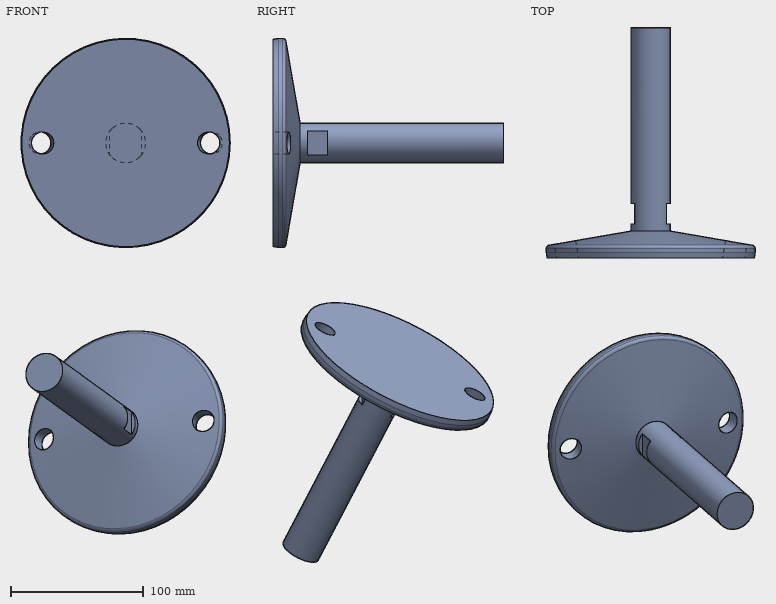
import cadquery as cq
import math

total_length = 174.0
plate_diameter = 158.0
stem_diameter = 30.0
cone_angle = 9.8
face_diameter = 156.6
taper_height = 4.2
rim_top = 7.3
rim_fillet = 2.6
hole_diameter = 16.5
hole_offset = 62.6
flat_width = 24.0
flat_start = 26.0
flat_end = 41.2

plate_radius = plate_diameter / 2
stem_radius = stem_diameter / 2
slope = math.radians(cone_angle)


def rim_arc_point(angle):
    """Point on the rim rounding, at an angle from the radial direction."""
    radius = plate_radius - rim_fillet + rim_fillet * math.cos(angle)
    height = rim_top + rim_fillet * math.sin(angle)
    return radius, height


arc_span = math.pi / 2 - slope
cone_edge_radius, cone_edge_height = rim_arc_point(arc_span)
cone_top = cone_edge_height + (cone_edge_radius - stem_radius) * math.tan(slope)


def make_body():
    """Conical plate and stem, revolved about Y."""
    return (
        cq.Workplane("XY")
        .lineTo(face_diameter / 2, 0)
        .lineTo(plate_radius, taper_height)
        .lineTo(plate_radius, rim_top)
        .threePointArc(rim_arc_point(arc_span / 2), (cone_edge_radius, cone_edge_height))
        .lineTo(stem_radius, cone_top)
        .lineTo(stem_radius, total_length)
        .lineTo(0, total_length)
        .close()
        .revolve(360, (0, 0, 0), (0, 1, 0))
    )


def make_hole(side):
    """Cutter for a bolt hole that runs square to the cone surface."""
    center = cq.Vector(side * hole_offset, 0, 0)
    axis = cq.Vector(side * math.sin(slope), math.cos(slope), 0)
    reach = 2 * cone_top
    return cq.Solid.makeCylinder(hole_diameter / 2, 2 * reach, center - axis * reach, axis)


def make_flat(side):
    """Cutter for one wrench flat on the stem."""
    return (
        cq.Workplane("XY")
        .box(stem_radius, flat_end - flat_start, stem_diameter)
        .translate((side * (flat_width + stem_radius) / 2, (flat_start + flat_end) / 2, 0))
    )


result = make_body()
for side in (-1, 1):
    result = result.cut(make_hole(side)).cut(make_flat(side))